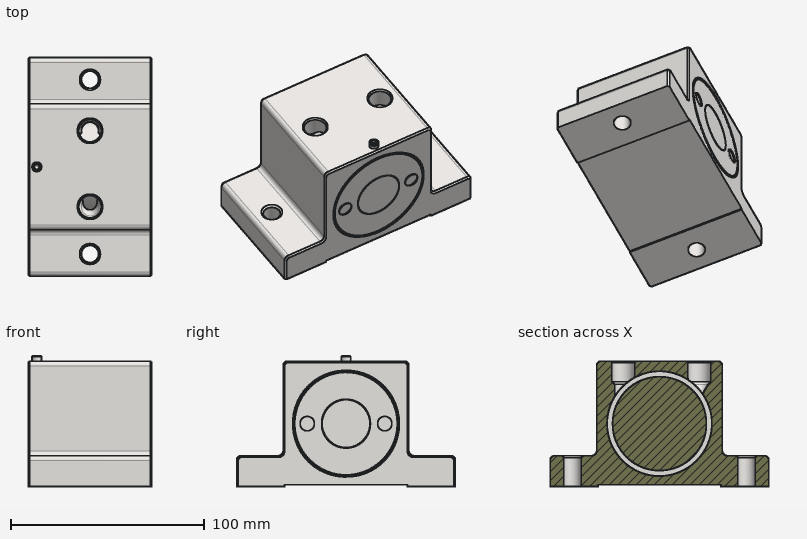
import cadquery as cq
import math

width = 64.0
foot_length = 113.0
foot_height = 16.0
block_length = 65.0
block_height = 64.9
edge_radius = 2.5
end_chamfer = 0.9
relief_length = 63.3
relief_depth = 0.9

mount_offset = 45.0
mount_radius = 4.4
mount_chamfer = 1.0

inlet_y = 18.6
outlet_y = -20.6
port_radius = 5.8
port_chamfer = 0.8
port_depth = 11.9
port_seat_radius = 4.6
seat_height = block_height - port_depth
outlet_tip_angle = 60.0
inlet_bore_radius = 4.4

axis_height = 32.5
cap_radius = 27.6
cap_groove_width = 1.1
hub_radius = 12.7
hub_groove_width = 0.3
pin_hole_offset = 20.0
pin_hole_radius = 3.7
pin_hole_depth = 0.6

chamber_radius = cap_radius - cap_groove_width / 2
rotor_radius = 24.3
chamber_width = 33.9

screw_x = -27.5
screw_radius = 2.5
screw_top = 67.5
screw_chamfer = 0.5
screw_embed = 1.1
socket_flats = 2.6
socket_depth = 2.0


def vertical_turning(y, points):
    """Solid turned about the vertical line at (0, y) from (radius, height) points."""
    return cq.Workplane("XZ", origin=(0, y, 0)).polyline(points).close().revolve(360, (0, 0), (0, 1))


def make_housing():
    """Stepped block with its edges finished everywhere except along the base."""
    half_foot = foot_length / 2
    half_block = block_length / 2
    half_relief = relief_length / 2
    body = (
        cq.Workplane("YZ")
        .polyline([
            (-half_foot, 0),
            (-half_relief, 0),
            (-half_relief, relief_depth),
            (half_relief, relief_depth),
            (half_relief, 0),
            (half_foot, 0),
            (half_foot, foot_height),
            (half_block, foot_height),
            (half_block, block_height),
            (-half_block, block_height),
            (-half_block, foot_height),
            (-half_foot, foot_height),
        ])
        .close()
        .extrude(width / 2, both=True)
    )
    above_base = cq.selectors.BoxSelector(
        (-width, -foot_length, 2 * relief_depth),
        (width, foot_length, 2 * block_height),
    )
    body = body.edges("|X").edges(above_base).fillet(edge_radius)
    return body.faces("<X or >X").edges(above_base).chamfer(end_chamfer)


def mounting_hole(y):
    """Through hole chamfered at the top of the foot."""
    return vertical_turning(y, [
        (0, 0),
        (mount_radius, 0),
        (mount_radius, foot_height - mount_chamfer),
        (mount_radius + mount_chamfer, foot_height),
        (0, foot_height),
    ])


def port(y, end_points):
    """Chamfered bore with a conical seat, carried on below the seat by end_points."""
    return vertical_turning(y, [
        *end_points,
        (port_seat_radius, seat_height),
        (port_radius, seat_height + port_radius - port_seat_radius),
        (port_radius, block_height - port_chamfer),
        (port_radius + port_chamfer, block_height),
        (0, block_height),
    ])


def inlet():
    """Port whose narrower bore runs straight down to the rotor."""
    return port(inlet_y, [
        (0, axis_height),
        (inlet_bore_radius, axis_height),
        (inlet_bore_radius, seat_height),
    ])


def outlet():
    """Port ending in a conical tip that breaks into the air chamber."""
    tip_depth = port_seat_radius / math.tan(math.radians(outlet_tip_angle / 2))
    return port(outlet_y, [(0, seat_height - tip_depth)])


def axial_cylinder(radius, length):
    """Cylinder on the rotor axis, centred on the YZ plane."""
    return cq.Workplane("YZ", origin=(0, 0, axis_height)).circle(radius).extrude(length / 2, both=True)


def air_passages():
    """Ring chamber and both ports, all stopping at the rotor."""
    passages = axial_cylinder(chamber_radius, chamber_width).union(inlet()).union(outlet())
    return passages.cut(axial_cylinder(rotor_radius, chamber_width))


def v_groove(outer_radius, groove_width):
    """Right-angled ring groove in the -X end face."""
    face = -width / 2
    return (
        cq.Workplane("XY", origin=(0, 0, axis_height))
        .polyline([
            (face, outer_radius),
            (face + groove_width / 2, outer_radius - groove_width / 2),
            (face, outer_radius - groove_width),
        ])
        .close()
        .revolve(360, (0, 0), (1, 0))
    )


def end_cap_cuts():
    """Cap outline, hub outline and pin holes of the -X end."""
    pins = (
        cq.Workplane("YZ", origin=(-width / 2, 0, axis_height))
        .pushPoints([(-pin_hole_offset, 0), (pin_hole_offset, 0)])
        .circle(pin_hole_radius)
        .extrude(pin_hole_depth)
    )
    return [v_groove(cap_radius, cap_groove_width), v_groove(hub_radius, hub_groove_width), pins]


def set_screw():
    """Plain screw body sunk a little into the block, chamfered at its top."""
    bottom = block_height - screw_embed
    screw = cq.Workplane("XY", origin=(screw_x, 0, bottom)).circle(screw_radius)
    screw = screw.extrude(screw_top - bottom)
    return screw.faces(">Z").chamfer(screw_chamfer)


def screw_socket():
    """Hexagonal socket with a right-angled conical bottom."""
    socket_corners = socket_flats / math.cos(math.pi / 6)
    floor = screw_top - socket_depth
    cone_radius = socket_flats / 2
    hexagon = cq.Workplane("XY", origin=(screw_x, 0, floor)).polygon(6, socket_corners).extrude(socket_depth)
    cone = cq.Solid.makeCone(0, cone_radius, cone_radius, cq.Vector(screw_x, 0, floor - cone_radius))
    return hexagon.union(cq.Workplane(cone))


result = make_housing()
for side in (-1, 1):
    result = result.cut(mounting_hole(side * mount_offset))

result = result.cut(air_passages())

for cap_cut in end_cap_cuts():
    result = result.cut(cap_cut).cut(cap_cut.mirror("YZ"))

result = result.union(set_screw()).cut(screw_socket())